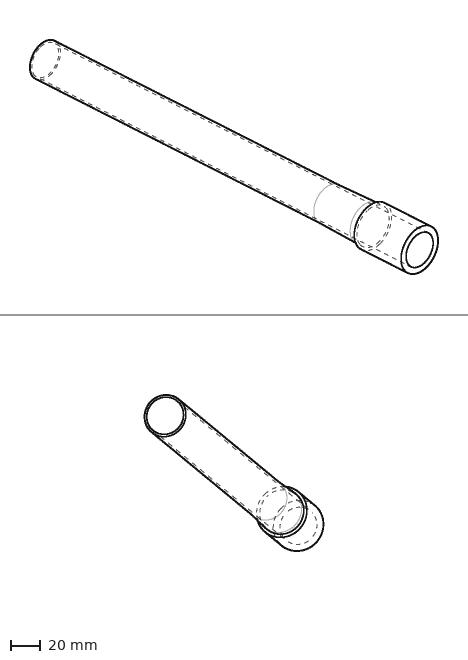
import cadquery as cq

TOTAL_LENGTH = 355.6
COLLAR_LENGTH = 44.45
NECK_LENGTH = 6.35
TAPER_LENGTH = 35.5

TUBE_DIAMETER = 28.575
NECK_DIAMETER = 30.48
COLLAR_DIAMETER = 34.925
BORE_DIAMETER = 25.4

COLLAR_START = TOTAL_LENGTH - COLLAR_LENGTH
NECK_START = COLLAR_START - NECK_LENGTH
TAPER_START = NECK_START - TAPER_LENGTH


def make_pipe():
    """Revolve the wall section of the pipe about the X axis."""
    tube_radius = TUBE_DIAMETER / 2
    neck_radius = NECK_DIAMETER / 2
    collar_radius = COLLAR_DIAMETER / 2
    bore_radius = BORE_DIAMETER / 2
    wall = (
        cq.Workplane("XZ")
        .moveTo(0, bore_radius)
        .lineTo(0, tube_radius)
        .lineTo(TAPER_START, tube_radius)
        .lineTo(NECK_START, neck_radius)
        .lineTo(COLLAR_START, neck_radius)
        .lineTo(COLLAR_START, collar_radius)
        .lineTo(TOTAL_LENGTH, collar_radius)
        .lineTo(TOTAL_LENGTH, bore_radius)
        .close()
    )
    return wall.revolve(360, (0, 0, 0), (1, 0, 0))


result = make_pipe()